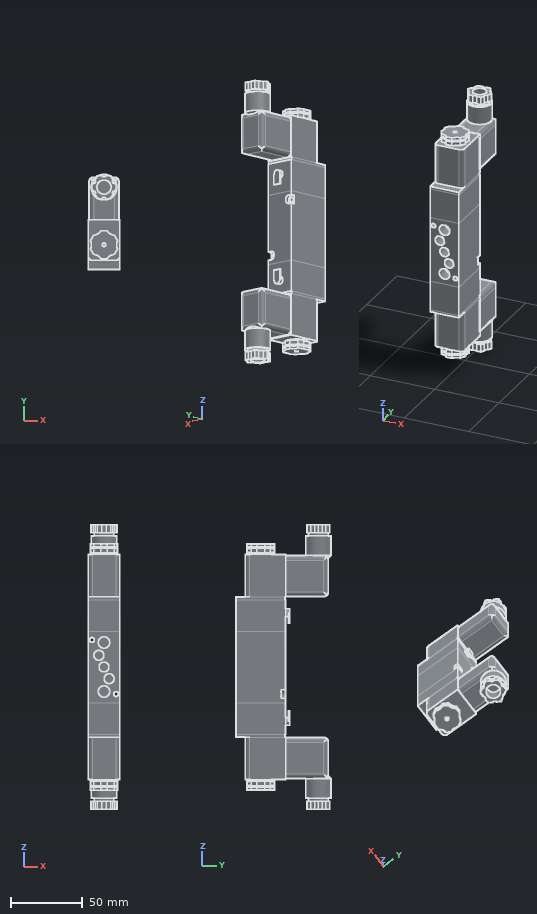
import cadquery as cq
import math


body_width = 22.3
body_depth = 35.0
port_block_half_height = 25.0
end_block_top = 47.4
end_plate_thickness = 1.8
end_plate_setback = 0.4
coil_base = end_block_top + end_plate_thickness

large_port_diameter = 8.0
small_port_diameter = 7.0
port_depth = 10.0
large_port_height = 17.2
small_port_height = 8.2
small_port_offset = 3.6

mount_hole_diameter = 3.2
mount_offset = 8.5
mount_height = 19.0
mount_recess_diameter = 6.0
mount_recess_depth = 3.1

coil_height = 30.0
coil_front = 6.6
coil_corner_radius = 3.0
coil_top = coil_base + coil_height

nut_center_y = 17.5
nut_spigot_diameter = 15.0
nut_groove_diameter = 14.0
nut_across_flats = 19.4
nut_side_count = 6
nut_flat_half_width = 2.2
nut_scallop_floor_radius = 8.8
lower_flange_offset = 1.1
lower_flange_thickness = 3.0
upper_flange_offset = 5.2
upper_flange_thickness = 2.1
vent_diameter = 2.5
vent_depth = 5.0

plug_width = 21.2
plug_length = 30.1
plug_height = 29.1
plug_base_gap = 0.2
plug_bottom = coil_base + plug_base_gap
plug_edge_radius = 3.5
plug_back = body_depth + plug_length
plug_top = plug_bottom + plug_height

gland_center_y = 58.0
gland_diameter = 18.0
gland_foot_chamfer = 1.9
gland_shoulder = 92.1
gland_neck_diameter = 14.0
cap_base = 94.2
cap_top = 100.0
cap_across_flats = 16.0
cap_side_count = 6
cap_notch_half_width = 1.5
cap_notch_depth = 0.7
cable_hole_diameter = 10.0
cable_hole_depth = 15.0

stem_diameter = 5.6
stem_height = 38.2
button_projection = 3.0
lever_thickness = 1.0
lever_length = 7.4


def block(width, y_front, y_back, z_bottom, z_top):
    """Box centred on X = 0."""
    return cq.Workplane("XY").box(
        width, y_back - y_front, z_top - z_bottom, centered=(True, False, False)
    ).translate((0, y_front, z_bottom))


def upright_cylinder(diameter, y_center, z_bottom, z_top):
    """Cylinder along Z on X = 0."""
    return (
        cq.Workplane("XY", origin=(0, y_center, z_bottom))
        .circle(diameter / 2)
        .extrude(z_top - z_bottom)
    )


def cross_cylinder(diameter, x_center, z_center, y_front, y_back):
    """Cylinder along Y."""
    return (
        cq.Workplane("XZ", origin=(x_center, y_front, z_center))
        .circle(diameter / 2)
        .extrude(y_front - y_back)
    )


def polar(radius, angle):
    """Point at a radius and an angle in degrees."""
    return (radius * math.cos(math.radians(angle)), radius * math.sin(math.radians(angle)))


def turned(point, angle):
    """Point turned about the origin by an angle in degrees."""
    x, y = point
    return polar(math.hypot(x, y), math.degrees(math.atan2(y, x)) + angle)


def nut_flange(z_bottom, thickness):
    """Hexagonal flange with flats facing +Y and -Y and a concave scallop in place of each corner."""
    flat_radius = nut_across_flats / 2
    pitch = 360 / nut_side_count
    flat_start = (flat_radius, -nut_flat_half_width)
    flat_end = (flat_radius, nut_flat_half_width)
    outline = cq.Workplane("XY", origin=(0, nut_center_y, z_bottom))
    outline = outline.moveTo(*turned(flat_start, pitch / 2))
    for index in range(nut_side_count):
        middle = (index + 0.5) * pitch
        scallop_floor = polar(nut_scallop_floor_radius, middle + pitch / 2)
        outline = outline.lineTo(*turned(flat_end, middle))
        outline = outline.threePointArc(scallop_floor, turned(flat_start, middle + pitch))
    return outline.close().extrude(thickness)


def gland_cap():
    """Hexagonal cap with corners on +X and -X and a round notch in the middle of each flat."""
    flat_radius = cap_across_flats / 2
    pitch = 360 / cap_side_count
    corner_radius = flat_radius / math.cos(math.radians(pitch / 2))
    outline = cq.Workplane("XY", origin=(0, gland_center_y, cap_base)).moveTo(corner_radius, 0)
    for index in range(cap_side_count):
        middle = (index + 0.5) * pitch
        notch_start = turned((flat_radius, -cap_notch_half_width), middle)
        notch_floor = polar(flat_radius - cap_notch_depth, middle)
        notch_end = turned((flat_radius, cap_notch_half_width), middle)
        outline = outline.lineTo(*notch_start).threePointArc(notch_floor, notch_end)
        if index < cap_side_count - 1:
            outline = outline.lineTo(*polar(corner_radius, middle + pitch / 2))
    return outline.close().extrude(cap_top - cap_base)


def make_port_block():
    """Middle block with its row of ports and two diagonally opposite mounting holes."""
    port_block = block(body_width, 0, body_depth, -port_block_half_height, port_block_half_height)
    ports = [
        (large_port_diameter, 0, large_port_height),
        (small_port_diameter, -small_port_offset, small_port_height),
        (small_port_diameter, 0, 0),
        (small_port_diameter, small_port_offset, -small_port_height),
        (large_port_diameter, 0, -large_port_height),
    ]
    for diameter, x, z in ports:
        port_block = port_block.cut(cross_cylinder(diameter, x, z, 0, port_depth))

    recess_floor = body_depth - mount_recess_depth
    for side in (-1, 1):
        x = side * mount_offset
        z = -side * mount_height
        port_block = port_block.cut(cross_cylinder(mount_hole_diameter, x, z, 0, body_depth))
        port_block = port_block.cut(cross_cylinder(mount_recess_diameter, x, z, recess_floor, body_depth))
        opening = cq.Workplane("XY").box(mount_recess_diameter, mount_recess_depth, mount_recess_diameter)
        opening_x = x + side * mount_recess_diameter / 2
        opening_y = body_depth - mount_recess_depth / 2
        port_block = port_block.cut(opening.translate((opening_x, opening_y, z)))
    return port_block


def make_coil():
    """Coil housing with rounded front corners."""
    coil = block(body_width, coil_front, body_depth, coil_base, coil_top)
    return coil.edges("|Z and <Y").fillet(coil_corner_radius)


def make_nut():
    """Coil nut standing on the outer face of the coil."""
    upper_flange_bottom = coil_top + upper_flange_offset
    nut_top = upper_flange_bottom + upper_flange_thickness
    lower_flange_bottom = coil_top + lower_flange_offset
    nut = upright_cylinder(nut_spigot_diameter, nut_center_y, coil_top, lower_flange_bottom)
    nut = nut.union(upright_cylinder(nut_groove_diameter, nut_center_y, lower_flange_bottom, nut_top))
    nut = nut.union(nut_flange(lower_flange_bottom, lower_flange_thickness))
    nut = nut.union(nut_flange(upper_flange_bottom, upper_flange_thickness))
    return nut.cut(upright_cylinder(vent_diameter, nut_center_y, nut_top - vent_depth, nut_top))


def make_plug():
    """Block whose edges are rounded along each axis in turn, so that the roundings meet in mitres."""
    plain = block(plug_width, body_depth, plug_back, plug_bottom, plug_top)
    along_y = plain.edges("|Y").fillet(plug_edge_radius)
    along_z = plain.edges("|Z and >Y").fillet(plug_edge_radius)
    along_x = plain.edges("|X and >Y").fillet(plug_edge_radius)
    return along_y.intersect(along_z).intersect(along_x)


def make_gland():
    """Barrel, neck and cap of the cable gland, with the cable hole."""
    foot = plug_top - gland_foot_chamfer
    barrel = upright_cylinder(gland_diameter, gland_center_y, foot, gland_shoulder)
    barrel = barrel.faces("<Z").chamfer(gland_foot_chamfer)
    gland = barrel.union(upright_cylinder(gland_neck_diameter, gland_center_y, gland_shoulder, cap_base))
    gland = gland.union(gland_cap())
    return gland.cut(
        upright_cylinder(cable_hole_diameter, gland_center_y, cap_top - cable_hole_depth, cap_top)
    )


def make_button():
    """Override button on the back face of the end block."""
    button_back = body_depth + button_projection
    stem = cross_cylinder(stem_diameter, 0, stem_height, body_depth, button_back)
    lever_front = button_back - lever_thickness
    lever = block(stem_diameter, lever_front, button_back, stem_height - lever_length, stem_height)
    return stem.union(lever)


def make_end():
    """Everything above the port block at the +Z end; the block faces stay separate where they meet."""
    end = block(body_width, 0, body_depth, port_block_half_height, end_block_top)
    end_plate = block(body_width, 0, body_depth - end_plate_setback, end_block_top, coil_base)
    for piece in (end_plate, make_coil(), make_nut(), make_plug(), make_gland(), make_button()):
        end = end.union(piece, clean=False)
    return end


upper_end = make_end()
lower_end = upper_end.mirror("XY")
result = make_port_block().union(upper_end, clean=False).union(lower_end, clean=False)